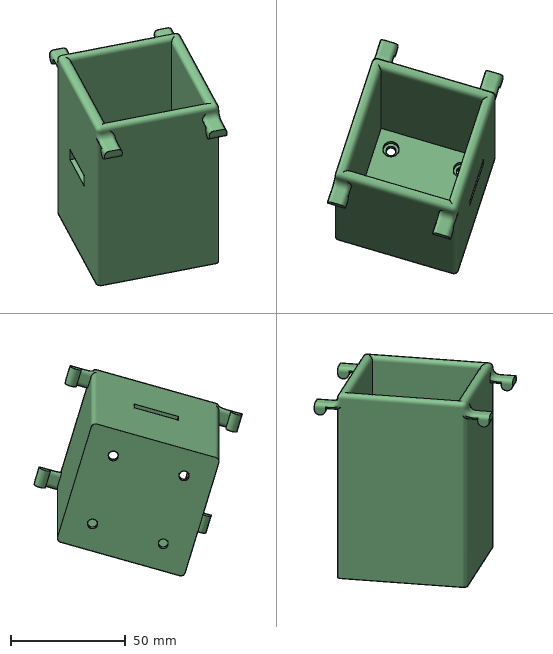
import cadquery as cq

width = 58.0
depth = 56.0
height = 85.0
wall = 5.0
floor = 5.0
edge_round = 2.0

hook_reach = 10.0
hook_width = 8.1
hook_thickness = 2.5
flare_radius = 3.0
tip_radius = 2.55
root_depth = 3.4
hook_top = height - edge_round - flare_radius
hook_bottom = hook_top - hook_thickness
tip_bottom = hook_bottom - tip_radius

window_width = 20.0
window_height = 5.5
window_bottom = 41.2

hole_diameter = 4.3
counterbore_diameter = 7.0
counterbore_depth = floor / 2
hole_spacing = 32.1

select_margin = 0.1


def make_box():
    """Open-topped box with rounded upright edges and a rounded rim."""
    outer = cq.Workplane("XY").box(width, depth, height, centered=(True, True, False))
    outer = outer.edges("|Z").fillet(edge_round)
    outer = outer.faces(">Z").edges().fillet(edge_round)
    cavity = (
        cq.Workplane("XY")
        .workplane(offset=floor)
        .rect(width - 2 * wall, depth - 2 * wall)
        .extrude(height)
    )
    return outer.cut(cavity).edges(rim_inner_edges()).fillet(edge_round)


def rim_inner_edges():
    """Selector for the four edges of the cavity mouth."""
    half_x = width / 2 - wall
    half_y = depth / 2 - wall
    return cq.selectors.BoxSelector(
        (-half_x - select_margin, -half_y - select_margin, height - select_margin),
        (half_x + select_margin, half_y + select_margin, height + select_margin),
    )


def make_hook():
    """Hook on the +X wall, centred on y = 0, rooted just inside the wall."""
    wall_x = width / 2
    root_x = wall_x - root_depth
    end_x = wall_x + hook_reach
    tip_x = end_x - tip_radius
    flare_top = hook_top + flare_radius
    flare_end_x = wall_x + flare_radius
    half_width = hook_width / 2
    arc_offset = flare_radius * (1 - 0.5 ** 0.5)

    upper = (
        cq.Workplane("XZ", origin=(0, half_width, 0))
        .moveTo(root_x, tip_bottom)
        .lineTo(end_x, tip_bottom)
        .lineTo(end_x, hook_top)
        .lineTo(flare_end_x, hook_top)
        .threePointArc((wall_x + arc_offset, hook_top + arc_offset), (wall_x, flare_top))
        .lineTo(wall_x, flare_top + flare_radius)
        .lineTo(root_x, flare_top + flare_radius)
        .close()
        .extrude(hook_width)
    )
    arm_side_edges = cq.selectors.BoxSelector(
        (wall_x - select_margin, -hook_width, hook_top - select_margin),
        (end_x - select_margin, hook_width, height + flare_radius),
    )
    upper = upper.edges(arm_side_edges).edges("not |Y").fillet(edge_round)

    lower = (
        cq.Workplane("XY", origin=((root_x + end_x) / 2, 0, hook_bottom))
        .rect(end_x - root_x, hook_width)
        .extrude(flare_top - hook_bottom)
        .faces("<Z")
        .edges("|X")
        .fillet(edge_round)
    )

    tip = (
        cq.Workplane("XZ", origin=(0, half_width, 0))
        .moveTo(end_x, hook_top)
        .lineTo(end_x, hook_bottom)
        .threePointArc((tip_x, tip_bottom), (tip_x - tip_radius, hook_bottom))
        .lineTo(tip_x - tip_radius, hook_top)
        .close()
        .extrude(hook_width)
    )
    return upper.intersect(lower).union(upper.intersect(tip))


def make_window():
    """Cutter for the slot through the -Y wall."""
    return (
        cq.Workplane("XY", origin=(0, (wall - depth) / 2, window_bottom))
        .box(window_width, wall, window_height, centered=(True, True, False))
    )


def make_floor_holes():
    """Cutters for the four through holes, counterbored from inside the box."""
    centres = cq.Workplane("XY").rect(hole_spacing, hole_spacing, forConstruction=True).vertices()
    holes = centres.circle(hole_diameter / 2).extrude(floor)
    counterbores = (
        cq.Workplane("XY")
        .workplane(offset=floor - counterbore_depth)
        .rect(hole_spacing, hole_spacing, forConstruction=True)
        .vertices()
        .circle(counterbore_diameter / 2)
        .extrude(counterbore_depth)
    )
    return holes.union(counterbores)


result = make_box()
hook = make_hook()
hook_y = (depth - hook_width) / 2
for side_hook in (hook, hook.mirror("YZ")):
    for y in (-hook_y, hook_y):
        result = result.union(side_hook.translate((0, y, 0)))
result = result.cut(make_window()).cut(make_floor_holes())